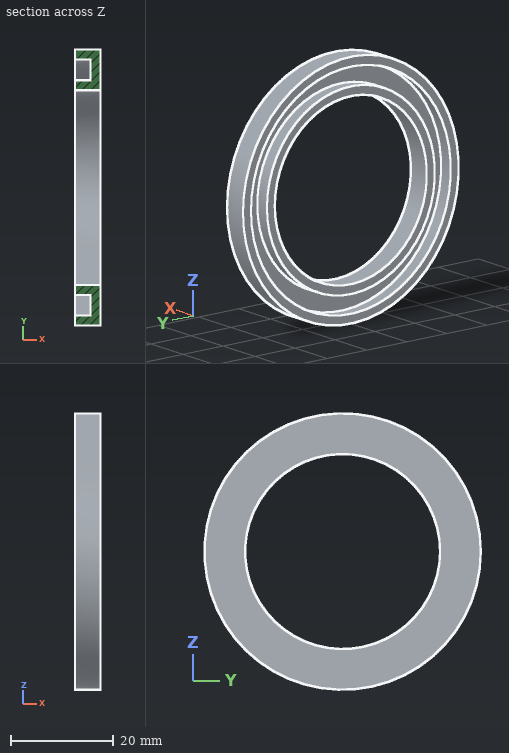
import cadquery as cq

outer_diameter = 54.0
bore_diameter = 38.0
width = 5.0
rim_thickness = 2.0
groove_depth = 3.0

groove_outer_diameter = outer_diameter - 2 * rim_thickness
groove_inner_diameter = bore_diameter + 2 * rim_thickness


def annulus(outside, inside, length):
    """Concentric tube that starts at X = 0 and extends toward +X."""
    return cq.Workplane("YZ").circle(outside / 2).circle(inside / 2).extrude(length)


ring = annulus(outer_diameter, bore_diameter, width)
groove = annulus(groove_outer_diameter, groove_inner_diameter, groove_depth)

result = ring.cut(groove)